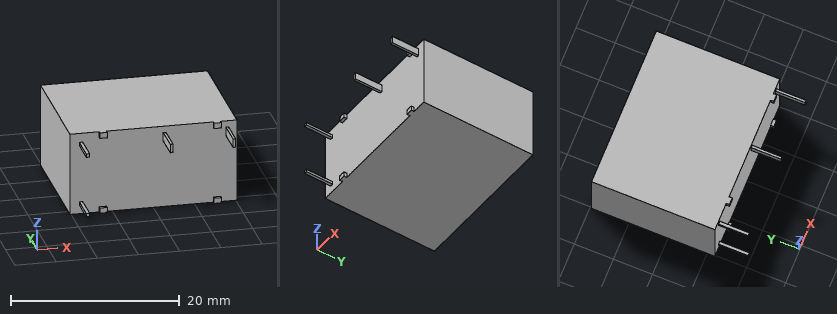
import cadquery as cq

case_length = 20.3
case_height = 10.3
pin_length = 3.8
overall_depth = 19.6
case_depth = overall_depth - pin_length

tab_width = 0.9
tab_height = 0.7
tab_projection = 0.4
first_tab_x = 4.0 - case_length / 2
tab_spacing = 13.86

pin_row_spacing = 7.61
coil_pin_width = 0.4
coil_pin_x = 1.34 - case_length / 2
contact_width = 0.32
contact_height = 1.08
coil_to_contact = 10.15
contact_spacing = 7.61


def block_on_pin_face(x, z, width, height, projection):
    """Block centred at (x, z), rising from the pin face (Y = 0) toward -Y."""
    return (
        cq.Workplane("XZ")
        .center(x, z)
        .rect(width, height)
        .extrude(projection)
    )


result = cq.Workplane("XZ").rect(case_length, case_height).extrude(-case_depth)

tab_z = (case_height - tab_height) / 2
for x in (first_tab_x, first_tab_x + tab_spacing):
    for z in (-tab_z, tab_z):
        result = result.union(block_on_pin_face(x, z, tab_width, tab_height, tab_projection))

upper_row_z = pin_row_spacing / 2
for z in (-upper_row_z, upper_row_z):
    result = result.union(block_on_pin_face(coil_pin_x, z, coil_pin_width, coil_pin_width, pin_length))

first_contact_x = coil_pin_x + coil_to_contact
for x in (first_contact_x, first_contact_x + contact_spacing):
    result = result.union(block_on_pin_face(x, upper_row_z, contact_width, contact_height, pin_length))